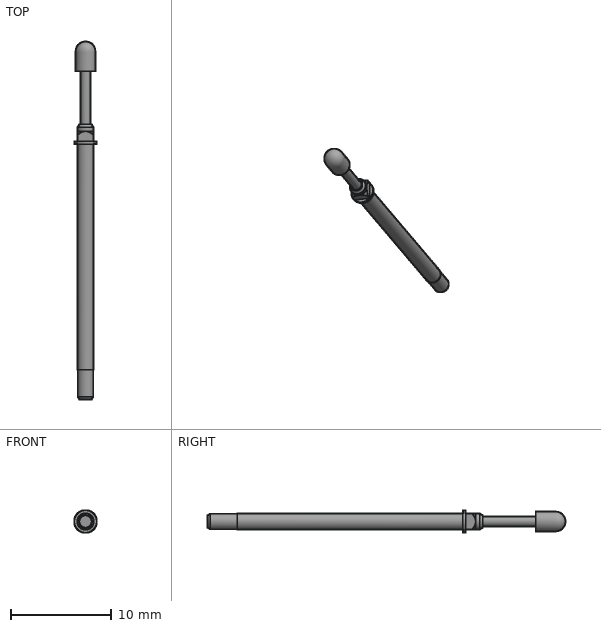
import cadquery as cq

total_length = 35.8

head_radius = 1.0
head_length = 3.0
shaft_radius = 0.5
shaft_end = 8.27

neck_front_radius = 0.6
band_start = 8.6
band_end = 9.0

flange_start = 10.0
flange_thickness = 0.3
flange_radius = 1.15

barrel_radius = 0.82
tail_radius = 0.8
tail_length = 3.0
tail_chamfer_radial = 0.18
tail_chamfer_axial = 0.3

square_side = 2 * barrel_radius
square_corner_radius = flange_radius
bevel_length = square_corner_radius - barrel_radius

tip_y = total_length / 2
tail_end_y = -total_length / 2


def y_at(distance):
    """Y position at a distance behind the tip."""
    return tip_y - distance


def revolve_about_y(profile):
    """Solid of revolution from a half profile that starts and ends on the Y axis."""
    return profile.close().revolve(360, (0, 0, 0), (0, 1, 0))


def make_plunger():
    dome_offset = head_radius * 0.5 ** 0.5
    dome_middle = (dome_offset, y_at(head_radius - dome_offset))
    return revolve_about_y(
        cq.Workplane("XY")
        .moveTo(0, tip_y)
        .threePointArc(dome_middle, (head_radius, y_at(head_radius)))
        .lineTo(head_radius, y_at(head_length))
        .lineTo(shaft_radius, y_at(head_length))
        .lineTo(shaft_radius, y_at(shaft_end))
        .lineTo(0, y_at(shaft_end))
    )


def make_body():
    flange_end = flange_start + flange_thickness
    tail_start_y = tail_end_y + tail_length
    return revolve_about_y(
        cq.Workplane("XY")
        .moveTo(0, y_at(shaft_end))
        .lineTo(neck_front_radius, y_at(shaft_end))
        .lineTo(barrel_radius, y_at(band_start))
        .lineTo(barrel_radius, y_at(flange_start))
        .lineTo(flange_radius, y_at(flange_start))
        .lineTo(flange_radius, y_at(flange_end))
        .lineTo(barrel_radius, y_at(flange_end))
        .lineTo(barrel_radius, tail_start_y)
        .lineTo(tail_radius, tail_start_y)
        .lineTo(tail_radius, tail_end_y + tail_chamfer_axial)
        .lineTo(tail_radius - tail_chamfer_radial, tail_end_y)
        .lineTo(0, tail_end_y)
    )


def make_square():
    length = flange_start - band_end
    block = cq.Workplane("XY").box(square_side, length, square_side)
    block = block.translate((0, y_at(band_end + length / 2), 0))
    bevel = revolve_about_y(
        cq.Workplane("XY")
        .moveTo(0, y_at(band_end))
        .lineTo(barrel_radius, y_at(band_end))
        .lineTo(square_corner_radius, y_at(band_end + bevel_length))
        .lineTo(square_corner_radius, y_at(flange_start))
        .lineTo(0, y_at(flange_start))
    )
    return block.intersect(bevel)


result = make_plunger().union(make_body()).union(make_square())